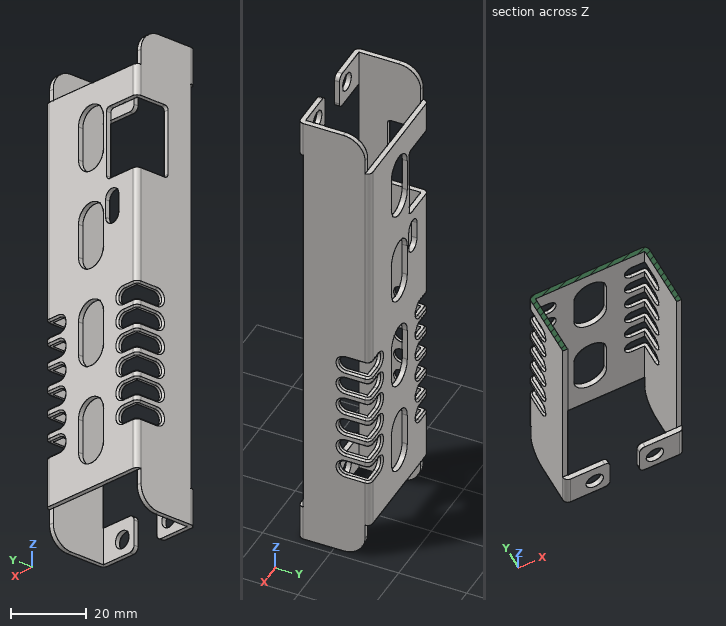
import cadquery as cq

width = 35.6
depth = 21.2
height = 139.7
sheet = 1.5
bend_radius = sheet

end_setback = 10.8
wall_corner_radius = 6.4

tab_height = end_setback
tab_width = 13.4
tab_corner_radius = 1.7
tab_hole_diameter = 5.2
tab_hole_spacing = 18.0
tab_hole_end_distance = 4.9

main_slot_width = 9.6
main_slot_length = 19.3
main_slot_count = 4
main_slot_pitch = 28.5
main_slot_center_z = 0.4
small_slot_width = 5.0
small_slot_length = 10.2
small_slot_x = -8.2
small_slot_z = 20.5

window_height = 21.1
window_center_z = 39.4
window_back_reach = 11.7
window_side_reach = 11.3
window_corner_radius = 1.1

vent_height = 4.5
vent_count = 6
vent_pitch = 7.0
vent_top_z = -7.1
vent_back_reach = 7.5
vent_side_reach = 9.5
vent_chamfer = 0.5

tab_gap = width - 2 * tab_width
surface_tolerance = 0.001


def facing_front(x, y, z):
    """Workplane facing -Y, with local axes along X and Z."""
    return cq.Workplane(cq.Plane(origin=(x, y, z), xDir=(1, 0, 0), normal=(0, -1, 0)))


def facing_side(x, y, z):
    """Workplane facing +X, with local axes along Y and Z."""
    return cq.Workplane(cq.Plane(origin=(x, y, z), xDir=(0, 1, 0), normal=(1, 0, 0)))


def block(x_size, y_min, y_max, z_size, z_center=0):
    """Block centred on X = 0 between two Y limits."""
    y_size = y_max - y_min
    return cq.Workplane("XY").box(x_size, y_size, z_size).translate((0, y_min + y_size / 2, z_center))


def outer_block():
    return block(width, 0, depth, height).edges("|Z").fillet(bend_radius)


def wrapped_opening(side, z, back_outline, side_outline):
    """Opening over a back edge; both outlines are centred on that edge and cut one sheet deep."""
    edge_x = side * width / 2
    through_back = facing_front(edge_x, depth, z).placeSketch(back_outline).extrude(sheet)
    through_wall = facing_side(edge_x, depth, z).placeSketch(side_outline).extrude(-side * sheet)
    return through_back.union(through_wall)


def vent(side, z):
    back_outline = cq.Sketch().slot(2 * vent_back_reach - vent_height, vent_height)
    side_outline = cq.Sketch().slot(2 * vent_side_reach - vent_height, vent_height)
    return wrapped_opening(side, z, back_outline, side_outline)


def window():
    def outline(reach):
        return cq.Sketch().rect(2 * reach, window_height).vertices().fillet(window_corner_radius)

    return wrapped_opening(-1, window_center_z, outline(window_back_reach), outline(window_side_reach))


def chamfer_vents(tube):
    """Break the outer rims of the vents, continuing around the bends."""
    skin = outer_block().val().Shells()[0]
    rims = []
    for edge in tube.edges("not |Z").vals():
        middle = edge.positionAt(0.5)
        on_skin = skin.distance(cq.Vertex.makeVertex(*middle.toTuple())) < surface_tolerance
        at_tube_end = abs(middle.z) > height / 2 - surface_tolerance
        if on_skin and not at_tube_end:
            rims.append(edge)
    return tube.newObject(rims).chamfer(vent_chamfer)


def back_slot(x, z, slot_width, slot_length):
    """Upright round-ended slot through the back plate."""
    return facing_front(x, depth, z).slot2D(slot_length, slot_width, 90).extrude(sheet)


def tab_gap_cut(end):
    """Cutter for the gap between the two tabs at one end, leaving their free corners rounded."""
    z_center = end * (height - tab_height) / 2
    gap = block(tab_gap, 0, sheet, tab_height, z_center)
    for side in (-1, 1):
        tab_x = side * (width - tab_width) / 2
        tab = block(tab_width, 0, sheet, tab_height, z_center).translate((tab_x, 0, 0))
        free_side = "<X" if side > 0 else ">X"
        rounded_tab = tab.edges(f"|Y and {free_side}").fillet(tab_corner_radius)
        gap = gap.union(tab.cut(rounded_tab))
    return gap


tube = outer_block().cut(block(width - 2 * sheet, sheet, depth - sheet, height))

for side in (-1, 1):
    for i in range(vent_count):
        tube = tube.cut(vent(side, vent_top_z - i * vent_pitch))
body = chamfer_vents(tube)

body = body.cut(block(width, 0, sheet, height - 2 * tab_height))

for end in (-1, 1):
    setback_z = end * (height - end_setback) / 2
    body = body.cut(block(width, depth - sheet, depth, end_setback, setback_z))
    body = body.cut(tab_gap_cut(end))
    hole_z = end * (height / 2 - tab_hole_end_distance)
    for side in (-1, 1):
        hole = facing_front(side * tab_hole_spacing / 2, sheet, hole_z)
        body = body.cut(hole.circle(tab_hole_diameter / 2).extrude(sheet))


walls = block(width, 0, depth - sheet, height)
wall_corners = walls.cut(walls.edges("|X and >Y").fillet(wall_corner_radius))
body = body.cut(wall_corners)

for i in range(main_slot_count):
    slot_z = main_slot_center_z + (i - (main_slot_count - 1) / 2) * main_slot_pitch
    body = body.cut(back_slot(0, slot_z, main_slot_width, main_slot_length))
body = body.cut(back_slot(small_slot_x, small_slot_z, small_slot_width, small_slot_length))

result = body.cut(window())